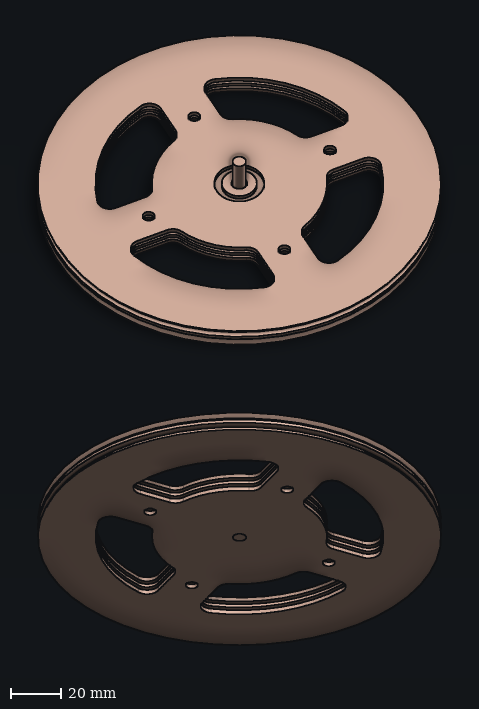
import cadquery as cq
import math

DISC_DIAMETER = 161.0
OUTER_DISC_THICKNESS = 2.0
MIDDLE_DISC_THICKNESS = 1.5
DISC_GAP = 1.37
RIM_SETBACK = 1.1
MIDDLE_DISC_BASE = OUTER_DISC_THICKNESS + DISC_GAP
TOP_DISC_BASE = MIDDLE_DISC_BASE + MIDDLE_DISC_THICKNESS + DISC_GAP
STACK_HEIGHT = TOP_DISC_BASE + OUTER_DISC_THICKNESS

SPOKE_COUNT = 4
SPOKE_WIDTH = 20.0
WINDOW_INNER_RADIUS = 35.0
WINDOW_OUTER_RADIUS = 57.5
WINDOW_CORNER_RADIUS = 5.0

BOLT_CIRCLE_RADIUS = 40.4
BOLT_HOLE_DIAMETER = 4.8

HUB_DIAMETER = 22.2
RECESS_DIAMETER = SPOKE_WIDTH
BOSS_DIAMETER = 14.0
RECESS_DEPTH = 1.6

SHAFT_DIAMETER = 5.3
SHAFT_TOP = 20.8
CLEARANCE_DIAMETER = 6.3
CLEARANCE_DEPTH = RECESS_DEPTH


def cylinder(diameter, base, height):
    """Upright cylinder on the wheel axis."""
    return cq.Workplane("XY").workplane(offset=base).circle(diameter / 2).extrude(height)


def make_window():
    """Window in the first quadrant, bounded by two arcs and two spoke sides."""
    side = SPOKE_WIDTH / 2
    inner_reach = math.sqrt(WINDOW_INNER_RADIUS**2 - side**2)
    outer_reach = math.sqrt(WINDOW_OUTER_RADIUS**2 - side**2)
    inner_middle = WINDOW_INNER_RADIUS * math.sqrt(0.5)
    outer_middle = WINDOW_OUTER_RADIUS * math.sqrt(0.5)
    return (
        cq.Workplane("XY")
        .moveTo(inner_reach, side)
        .lineTo(outer_reach, side)
        .threePointArc((outer_middle, outer_middle), (side, outer_reach))
        .lineTo(side, inner_reach)
        .threePointArc((inner_middle, inner_middle), (inner_reach, side))
        .close()
        .extrude(STACK_HEIGHT)
        .edges("|Z")
        .fillet(WINDOW_CORNER_RADIUS)
    )


def make_outer_disc():
    """Disc with a conical rim, widest at its base."""
    rim_angle = math.degrees(math.atan2(RIM_SETBACK, OUTER_DISC_THICKNESS))
    return cq.Workplane("XY").circle(DISC_DIAMETER / 2).extrude(OUTER_DISC_THICKNESS, taper=rim_angle)


def make_disc_stack():
    """Three discs joined by the hub; the conical outer discs narrow towards the middle disc."""
    bottom_disc = make_outer_disc()
    middle_disc = cylinder(DISC_DIAMETER, MIDDLE_DISC_BASE, MIDDLE_DISC_THICKNESS)
    top_disc = bottom_disc.mirror("XY", (0, 0, STACK_HEIGHT / 2))
    hub = cylinder(HUB_DIAMETER, 0, STACK_HEIGHT)
    return hub.union(bottom_disc).union(middle_disc).union(top_disc)


def make_wheel():
    wheel = make_disc_stack()

    window = make_window()
    bolt_hole = cylinder(BOLT_HOLE_DIAMETER, 0, STACK_HEIGHT).translate((BOLT_CIRCLE_RADIUS, 0, 0))
    for index in range(SPOKE_COUNT):
        angle = index * 360 / SPOKE_COUNT
        for cutter in (window, bolt_hole):
            wheel = wheel.cut(cutter.rotate((0, 0, 0), (0, 0, 1), angle))

    recess_floor = STACK_HEIGHT - RECESS_DEPTH
    recess = cylinder(RECESS_DIAMETER, recess_floor, RECESS_DEPTH)
    boss = cylinder(BOSS_DIAMETER, recess_floor, RECESS_DEPTH)
    wheel = wheel.cut(recess.cut(boss))

    clearance = cylinder(CLEARANCE_DIAMETER, STACK_HEIGHT - CLEARANCE_DEPTH, CLEARANCE_DEPTH)
    bore = cylinder(SHAFT_DIAMETER, 0, STACK_HEIGHT)
    return wheel.cut(clearance).cut(bore)


def make_shaft():
    return cylinder(SHAFT_DIAMETER, 0, SHAFT_TOP)


wheel = make_wheel()
shaft = make_shaft()

result = cq.Compound.makeCompound([wheel.val(), shaft.val()])